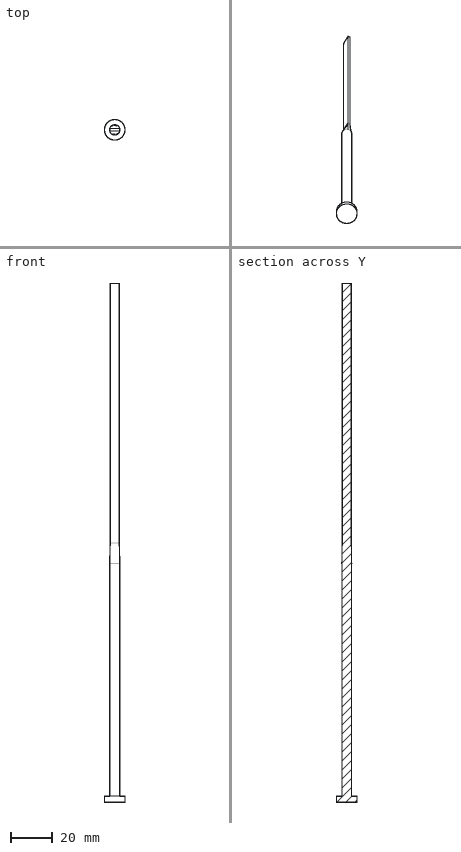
import cadquery as cq
import math

total_length = 250.0
head_diameter = 10.0
head_height = 3.0

shank_diameter = 5.0

blade_width = 4.5
blade_thickness = 1.2
blade_length = total_length / 2

transition_length = 10.0

blade_base = total_length - blade_length
shank_top = blade_base - transition_length

corner_angle = math.atan2(blade_thickness, blade_width)


def make_head():
    """Cylindrical head standing on the XY plane."""
    return cq.Workplane("XY").circle(head_diameter / 2).extrude(head_height)


def make_shank():
    """Round shank from the underside of the head to the transition."""
    return cq.Workplane("XY").circle(shank_diameter / 2).extrude(shank_top)


def make_transition():
    """Straight-sided loft from the shank circle, split into four arcs, to the blade rectangle."""
    radius = shank_diameter / 2
    split_x = radius * math.cos(corner_angle)
    split_y = radius * math.sin(corner_angle)
    return (
        cq.Workplane("XY")
        .workplane(offset=shank_top)
        .moveTo(-split_x, -split_y)
        .threePointArc((0, -radius), (split_x, -split_y))
        .threePointArc((radius, 0), (split_x, split_y))
        .threePointArc((0, radius), (-split_x, split_y))
        .threePointArc((-radius, 0), (-split_x, -split_y))
        .close()
        .workplane(offset=transition_length)
        .rect(blade_width, blade_thickness)
        .loft(ruled=True)
    )


def make_blade():
    """Flat rectangular blade, wide along X and thin along Y."""
    return (
        cq.Workplane("XY")
        .workplane(offset=blade_base)
        .rect(blade_width, blade_thickness)
        .extrude(blade_length)
    )


result = make_head().union(make_shank()).union(make_transition()).union(make_blade())